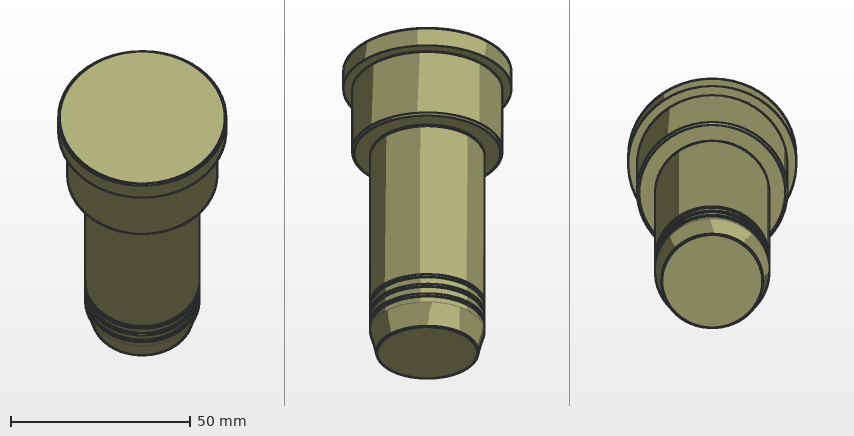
import cadquery as cq

total_height = 92.0
flange_diameter = 47.0
flange_thickness = 6.0
flange_chamfer = 0.5
shoulder_diameter = 42.0
shoulder_height = 21.0
shoulder_chamfer = 0.6
shank_diameter = 32.0
neck_diameter = 31.0
neck_height = 0.8

tip_diameter = 28.5
taper_height = 7.0
taper_hollow = 0.1
tip_chamfer = 0.3

groove_count = 3
lowest_groove_z = 9.3
groove_pitch = 3.1
groove_width = 1.0
groove_depth = 0.5

flange_bottom = total_height - flange_thickness
shoulder_bottom = flange_bottom - shoulder_height
neck_bottom = shoulder_bottom - neck_height
shank_radius = shank_diameter / 2
tip_radius = tip_diameter / 2


def make_tapered_shank():
    """Revolve the shank, its relief neck and the hollow taper."""
    taper_middle = ((shank_radius + tip_radius) / 2 - taper_hollow, (taper_height + tip_chamfer) / 2)
    profile = (
        cq.Workplane("XZ")
        .lineTo(tip_radius - tip_chamfer, 0)
        .lineTo(tip_radius, tip_chamfer)
        .threePointArc(taper_middle, (shank_radius, taper_height))
        .lineTo(shank_radius, neck_bottom)
        .lineTo(neck_diameter / 2, neck_bottom)
        .lineTo(neck_diameter / 2, shoulder_bottom)
        .lineTo(0, shoulder_bottom)
        .close()
    )
    return profile.revolve(360, (0, 0, 0), (0, 1, 0))


def make_shoulder():
    shoulder = cq.Workplane("XY", origin=(0, 0, shoulder_bottom)).circle(shoulder_diameter / 2)
    return shoulder.extrude(shoulder_height).edges().chamfer(shoulder_chamfer)


def make_flange():
    flange = cq.Workplane("XY", origin=(0, 0, flange_bottom)).circle(flange_diameter / 2)
    return flange.extrude(flange_thickness).faces(">Z").edges().chamfer(flange_chamfer)


def make_groove_ring(height):
    """Revolve a triangle whose tip points at the axis, centred on the given height."""
    profile = (
        cq.Workplane("XZ")
        .moveTo(shank_radius, height - groove_width / 2)
        .lineTo(shank_radius - groove_depth, height)
        .lineTo(shank_radius, height + groove_width / 2)
        .close()
    )
    return profile.revolve(360, (0, 0, 0), (0, 1, 0))


result = make_tapered_shank().union(make_shoulder()).union(make_flange())
for index in range(groove_count):
    result = result.cut(make_groove_ring(lowest_groove_z + index * groove_pitch))